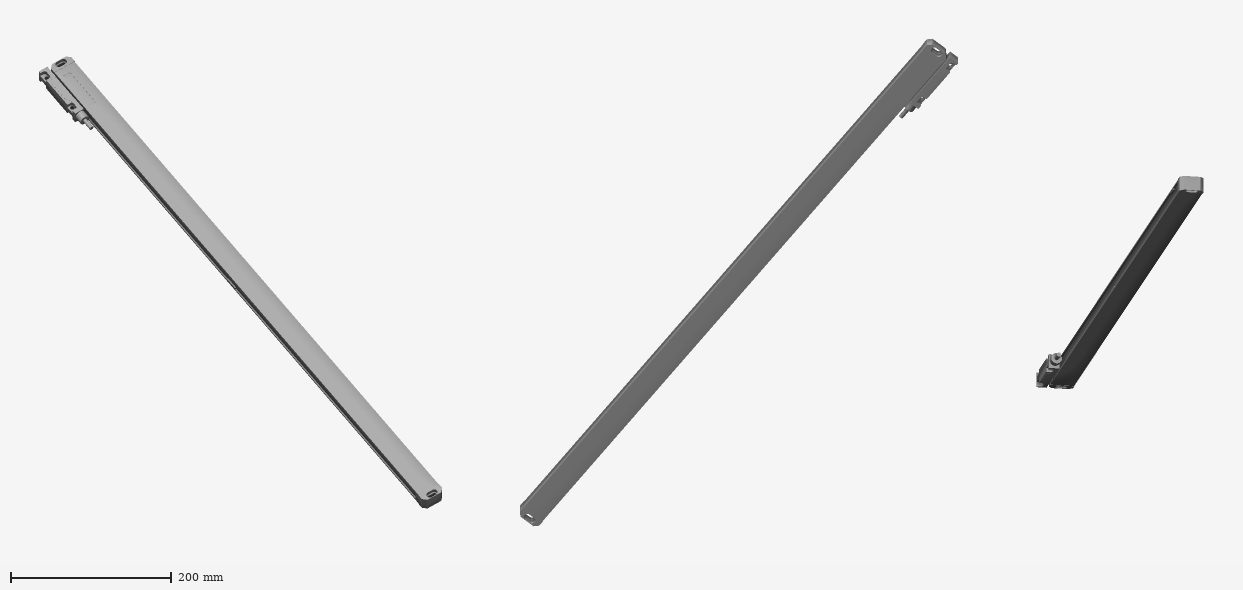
import cadquery as cq

LENGTH = 825.0
DEPTH = 46.0
HEIGHT = 18.0

HOUSING_FRONT = 15.0
CAP_LENGTH = 12.4
CAP_CORNER = 5.0
PROFILE_INSET = 0.4
HOUSING_WIDTH = DEPTH - HOUSING_FRONT
HOUSING_MID_Y = HOUSING_FRONT + HOUSING_WIDTH / 2

SLOT_X = 5.0
SLOT_LENGTH = 12.0
SLOT_WIDTH = 5.0
SEAT_MARGIN = 1.75
FLANGE_THICKNESS = 8.0

LIP_HEIGHT = 2.5
CHANNEL_DEPTH = 2.0
CHANNEL_END_LAND = 7.0
LIP_TAB_LENGTH = 18.0
LIP_TAB_HEIGHT = 2.0
LOWER_TAB_X = 400.0
UPPER_TAB_X = 770.0

LABEL_START_X = 23.0
LABEL_LENGTH = 57.0
LABEL_WIDTH = 10.0
LABEL_FRONT_Y = 21.5
LABEL_RECESS = 0.4

HEAD_LENGTH = 80.0
HEAD_WIDTH = 13.0
HEAD_FLANGE_THICKNESS = 7.0
POCKET_BACK_Y = 7.5
POCKET_CORNER_RADIUS = 3.0
LEFT_POCKET = (3.5, 16.0)
RIGHT_POCKET = (63.0, 74.0)
RELIEF_WIDTH = 2.5
RELIEF_SLOPE = 9.0
RELIEF_DEPTH = 0.3
HEAD_HOLE_DIAMETER = 5.5
HEAD_HOLE_Y = 4.5
HEAD_HOLE_XS = (11.0, 67.0)
BACK_STEP_START_X = 19.0
BACK_STEP_END_X = 60.0
BACK_STEP_WIDTH = 2.5
BACK_STEP_DEPTH = 0.5

GLAND_DIAMETER = 13.5
GLAND_END_X = 90.5
CABLE_DIAMETER = 5.5
CABLE_END_X = 105.5
CABLE_Y = 7.5
CABLE_Z = 9.9


def block(x0, x1, y0, y1, z0, z1):
    """Box between two opposite corners."""
    return cq.Workplane("XY").box(x1 - x0, y1 - y0, z1 - z0, centered=False).translate((x0, y0, z0))


def cap_slot(margin, z0, z1):
    """Round-ended cutter along Y at the mounting slot of the left cap, widened by a margin all round."""
    return (
        cq.Workplane("XY", origin=(SLOT_X, HOUSING_MID_Y, z0))
        .slot2D(SLOT_LENGTH + 2 * margin, SLOT_WIDTH + 2 * margin, angle=90)
        .extrude(z1 - z0)
    )


def make_left_cap():
    """End cap with bevelled outer corners and a mounting slot seated from both faces."""
    cap = block(0, CAP_LENGTH, HOUSING_FRONT, DEPTH, 0, HEIGHT)
    cap = cap.edges("|Z and <X").chamfer(CAP_CORNER)
    flange_bottom = (HEIGHT - FLANGE_THICKNESS) / 2
    flange_top = flange_bottom + FLANGE_THICKNESS
    cap = cap.cut(cap_slot(0, 0, HEIGHT))
    cap = cap.cut(cap_slot(SEAT_MARGIN, 0, flange_bottom))
    return cap.cut(cap_slot(SEAT_MARGIN, flange_top, HEIGHT))


def make_profile():
    """Long extrusion with the front channel, its lip tabs and the label recess."""
    front = HOUSING_FRONT + PROFILE_INSET
    top = HEIGHT - PROFILE_INSET
    x0 = CAP_LENGTH
    x1 = LENGTH - CAP_LENGTH
    profile = block(x0, x1, front, DEPTH - PROFILE_INSET, PROFILE_INSET, top)

    channel_back = front + CHANNEL_DEPTH
    channel_top = HEIGHT - LIP_HEIGHT
    channel = block(x0 + CHANNEL_END_LAND, x1 - CHANNEL_END_LAND, front, channel_back, LIP_HEIGHT, channel_top)
    half_tab = LIP_TAB_LENGTH / 2
    for tab_x, tab_z in ((LOWER_TAB_X, LIP_HEIGHT), (UPPER_TAB_X, channel_top - LIP_TAB_HEIGHT)):
        tab = block(tab_x - half_tab, tab_x + half_tab, front, channel_back, tab_z, tab_z + LIP_TAB_HEIGHT)
        channel = channel.cut(tab)

    label = block(
        LABEL_START_X, LABEL_START_X + LABEL_LENGTH,
        LABEL_FRONT_Y, LABEL_FRONT_Y + LABEL_WIDTH,
        top - LABEL_RECESS, top,
    )
    return profile.cut(channel).cut(label)


def make_housing():
    """Profile closed by two mirrored end caps, as one solid."""
    left_cap = make_left_cap()
    right_cap = left_cap.mirror("YZ", (LENGTH / 2, 0, 0))
    return make_profile().union(left_cap).union(right_cap)


def head_pocket(x0, x1, z0, z1):
    """Pocket cutter open to the front, with rounded back corners."""
    return block(x0, x1, 0, POCKET_BACK_Y, z0, z1).edges("|Z and >Y").fillet(POCKET_CORNER_RADIUS)


def front_relief(z0, z1):
    """Shallow cutter along the front edge between the pockets, flaring back to meet them."""
    x0 = LEFT_POCKET[1]
    x1 = RIGHT_POCKET[0]
    return (
        cq.Workplane("XY", origin=(0, 0, z0))
        .polyline([
            (x0, 0),
            (x1, 0),
            (x1, POCKET_BACK_Y),
            (x1 - RELIEF_SLOPE, RELIEF_WIDTH),
            (x0 + RELIEF_SLOPE, RELIEF_WIDTH),
            (x0, POCKET_BACK_Y),
        ])
        .close()
        .extrude(z1 - z0)
    )


def rod(diameter, x0, x1):
    """Cylinder along X on the cable axis."""
    return cq.Workplane("YZ", origin=(x0, CABLE_Y, CABLE_Z)).circle(diameter / 2).extrude(x1 - x0)


def make_reader_head():
    """Reader head with two mounting flanges, cable gland and cable stub."""
    head = block(0, HEAD_LENGTH, 0, HEAD_WIDTH, 0, HEIGHT)
    flange_bottom = (HEIGHT - HEAD_FLANGE_THICKNESS) / 2
    flange_top = flange_bottom + HEAD_FLANGE_THICKNESS
    for x0, x1 in (LEFT_POCKET, RIGHT_POCKET):
        head = head.cut(head_pocket(x0, x1, 0, flange_bottom))
        head = head.cut(head_pocket(x0, x1, flange_top, HEIGHT))
    head = head.cut(front_relief(0, RELIEF_DEPTH))
    head = head.cut(front_relief(HEIGHT - RELIEF_DEPTH, HEIGHT))
    for hole_x in HEAD_HOLE_XS:
        hole = cq.Workplane("XY").center(hole_x, HEAD_HOLE_Y).circle(HEAD_HOLE_DIAMETER / 2).extrude(HEIGHT)
        head = head.cut(hole)

    back_step = block(
        BACK_STEP_START_X, BACK_STEP_END_X,
        HEAD_WIDTH - BACK_STEP_WIDTH, HEAD_WIDTH,
        HEIGHT - BACK_STEP_DEPTH, HEIGHT,
    )
    head = head.cut(back_step)
    head = head.union(rod(GLAND_DIAMETER, HEAD_LENGTH, GLAND_END_X))
    return head.union(rod(CABLE_DIAMETER, GLAND_END_X, CABLE_END_X))


housing = make_housing()
reader_head = make_reader_head()

result = cq.Compound.makeCompound([housing.val(), reader_head.val()])